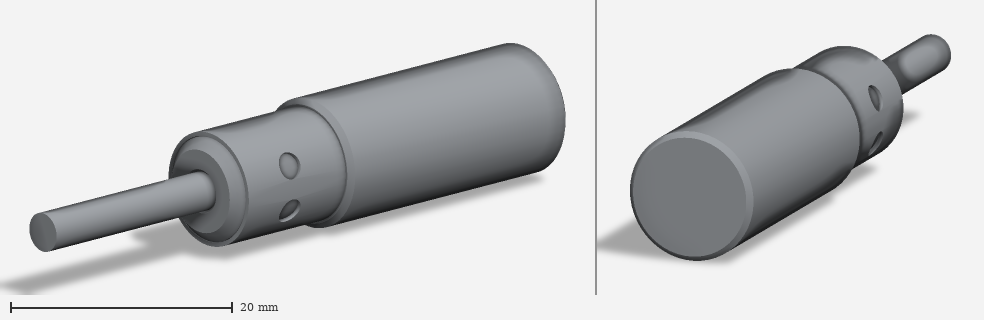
import cadquery as cq
import math


cable_free_length = 19.5
nose_length = 1.0
neck_length = 12.0
barrel_length = 27.0

nose_face_y = cable_free_length
neck_end_y = nose_face_y + nose_length
shoulder_y = neck_end_y + neck_length
rear_y = shoulder_y + barrel_length

barrel_diameter = 12.0
barrel_chamfer = 0.5
neck_diameter = 10.6
bore_diameter = 9.8

window_diameter = 2.5
window_offset = 5.5
window_y = neck_end_y + window_offset
window_tilt = 24.0
window_angles = [
    window_tilt,
    180 - window_tilt,
    180 + window_tilt,
    360 - window_tilt,
]

plug_diameter = 9.7
nose_face_diameter = plug_diameter - 2 * nose_length

cable_diameter = 3.6
countersink_depth = 0.25


def cylinder(diameter, start_y, end_y):
    """Solid cylinder centred on the Y axis."""
    profile = cq.Workplane("XZ", origin=(0, start_y, 0)).circle(diameter / 2)
    return profile.extrude(start_y - end_y)


def window_cutter(angle):
    """Cylinder running outward from the Y axis, at an angle measured from +X towards +Z."""
    outward = (math.cos(math.radians(angle)), 0, math.sin(math.radians(angle)))
    plane = cq.Plane(origin=(0, window_y, 0), xDir=(0, 1, 0), normal=outward)
    return cq.Workplane(plane).circle(window_diameter / 2).extrude(neck_diameter)


def make_housing():
    barrel = cylinder(barrel_diameter, shoulder_y, rear_y)
    barrel = barrel.faces("<Y or >Y").chamfer(barrel_chamfer)
    neck = cylinder(neck_diameter, neck_end_y, shoulder_y)
    bore = cylinder(bore_diameter, neck_end_y, shoulder_y)
    body = barrel.union(neck).cut(bore)
    for angle in window_angles:
        body = body.cut(window_cutter(angle))
    return body


def make_plug():
    """Revolved ring: cable hole, countersink, nose cone and the part inside the bore."""
    cable_radius = cable_diameter / 2
    half_section = [
        (cable_radius, shoulder_y),
        (cable_radius, nose_face_y + countersink_depth),
        (cable_radius + countersink_depth, nose_face_y),
        (nose_face_diameter / 2, nose_face_y),
        (plug_diameter / 2, neck_end_y),
        (plug_diameter / 2, shoulder_y),
    ]
    axis_start = (0, 0, 0)
    axis_end = (0, 1, 0)
    return cq.Workplane("XY").polyline(half_section).close().revolve(360, axis_start, axis_end)


housing = make_housing()
plug = make_plug()
cable = cylinder(cable_diameter, 0, shoulder_y)

result = cq.Compound.makeCompound([housing.val(), plug.val(), cable.val()])